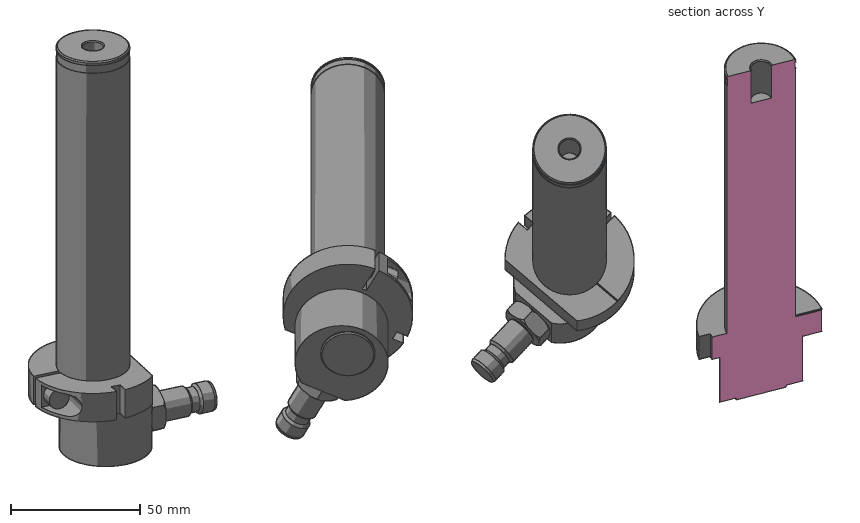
import cadquery as cq
import math

total_height = 174.9
foot_height = 1.0
collar_bottom = 25.0
collar_height = 12.2
collar_middle = collar_bottom + collar_height / 2

tube_diameter = 28.5
band_diameter = 28.2
band_height = 3.3
tube_rim_height = 1.5
band_top = total_height - tube_rim_height
band_bottom = band_top - band_height
tube_chamfer = 0.5
bore_diameter = 8.0
bore_mouth_diameter = 9.0
bore_depth = 17.5

base_diameter = 36.0
base_center_y = 5.5
base_flat_y = 20.8
foot_diameter = 21.0
foot_chamfer = 0.5

collar_diameter = 50.0
collar_flat_y = 16.6
clamp_slit_width = 1.7
key_notch_width = 3.7
key_notch_floor_x = 20.3
index_groove_width = 0.3
index_groove_depth = 0.5

screw_y = -19.2
screw_diameter = 5.0
screw_head_diameter = 8.5
screw_head_length = 5.0
screw_pocket_diameter = 9.5
screw_pocket_start_x = 4.9

connector_z = (foot_height + collar_bottom) / 2
hex_across_flats = 17.1
hex_across_corners = hex_across_flats / math.cos(math.pi / 6)
hex_end_y = 27.3
hex_chamfer_radial = 1.0
hex_chamfer_length = 0.9
plug_diameter = 12.0
plug_groove_diameter = 10.0
plug_end_y = 50.5
plug_groove_start_y = 39.4
plug_groove_end_y = 44.6
plug_groove_taper = 1.0
plug_chamfer_radial = 0.3
plug_chamfer_length = 1.0
plug_root_length = 0.5


def upright_cylinder(diameter, bottom, top, center_y=0):
    return cq.Workplane("XY", origin=(0, center_y, bottom)).circle(diameter / 2).extrude(top - bottom)


def screw_cylinder(diameter, start_x, length):
    """Cylinder on the clamping screw axis, running toward +X."""
    return cq.Workplane("YZ", origin=(start_x, screw_y, collar_middle)).circle(diameter / 2).extrude(length)


def box_between(x_range, y_range, z_range):
    lows, highs = zip(x_range, y_range, z_range)
    sizes = [high - low for low, high in zip(lows, highs)]
    return cq.Workplane("XY").box(*sizes, centered=False).translate(lows)


def revolve_about_connector(profile):
    """Revolve (radius, y) points about the connector axis."""
    sketch = cq.Workplane("XY", origin=(0, 0, connector_z)).polyline(profile).close()
    return sketch.revolve(360, (0, 0), (0, 1))


def make_tube():
    tube = upright_cylinder(tube_diameter, collar_bottom, total_height).faces(">Z").chamfer(tube_chamfer)
    band = upright_cylinder(tube_diameter, band_bottom, band_top)
    band = band.cut(upright_cylinder(band_diameter, band_bottom, band_top))
    bore = upright_cylinder(bore_diameter, total_height - bore_depth, total_height)
    mouth_depth = (bore_mouth_diameter - bore_diameter) / 2
    mouth = (
        cq.Workplane("XY", origin=(0, 0, total_height))
        .circle(bore_mouth_diameter / 2)
        .workplane(offset=-mouth_depth)
        .circle(bore_diameter / 2)
        .loft()
    )
    return tube.cut(band).cut(bore).cut(mouth)


def make_base():
    base = upright_cylinder(base_diameter, foot_height, collar_bottom, base_center_y)
    beyond_flat = box_between(
        (-base_diameter, base_diameter), (base_flat_y, 2 * base_diameter), (0, total_height)
    )
    foot = upright_cylinder(foot_diameter, 0, collar_bottom).faces("<Z").chamfer(foot_chamfer)
    return base.cut(beyond_flat).union(foot)


def make_collar():
    collar_top = collar_bottom + collar_height
    full_height = (collar_bottom, collar_top)
    collar = upright_cylinder(collar_diameter, *full_height)
    beyond_flat = box_between(
        (-collar_diameter, collar_diameter), (collar_flat_y, collar_diameter), full_height
    )
    clamp_slit = box_between(
        (-clamp_slit_width / 2, clamp_slit_width / 2), (-collar_diameter, 0), full_height
    )
    key_notch = box_between(
        (key_notch_floor_x, collar_diameter), (-key_notch_width / 2, key_notch_width / 2), full_height
    )
    index_groove = box_between(
        (-collar_diameter, 0),
        (-index_groove_width / 2, index_groove_width / 2),
        (collar_top - index_groove_depth, collar_top),
    )
    pocket = screw_cylinder(screw_pocket_diameter, screw_pocket_start_x, collar_diameter)
    pocket_mouth = box_between(
        (screw_pocket_start_x, collar_diameter),
        (-collar_diameter, screw_y),
        (collar_middle - screw_pocket_diameter / 2, collar_middle + screw_pocket_diameter / 2),
    )
    for cutter in (beyond_flat, clamp_slit, key_notch, index_groove, pocket, pocket_mouth):
        collar = collar.cut(cutter)
    shank = screw_cylinder(screw_diameter, -screw_pocket_start_x, 2 * screw_pocket_start_x)
    head = screw_cylinder(screw_head_diameter, screw_pocket_start_x, screw_head_length)
    return collar.union(shank).union(head)


def make_connector():
    hexagon = (
        cq.Workplane("XZ", origin=(0, base_flat_y, connector_z))
        .transformed(rotate=(0, 0, 90))
        .polygon(6, hex_across_corners)
        .extrude(base_flat_y - hex_end_y)
    )
    corner_radius = hex_across_corners / 2
    chamfer_radius = corner_radius - hex_chamfer_radial
    hex_envelope = revolve_about_connector([
        (0, base_flat_y),
        (chamfer_radius, base_flat_y),
        (corner_radius, base_flat_y + hex_chamfer_length),
        (corner_radius, hex_end_y - hex_chamfer_length),
        (chamfer_radius, hex_end_y),
        (0, hex_end_y),
    ])
    plug_radius = plug_diameter / 2
    groove_radius = plug_groove_diameter / 2
    end_radius = plug_radius - plug_chamfer_radial
    plug = revolve_about_connector([
        (0, base_flat_y),
        (end_radius, base_flat_y),
        (end_radius, hex_end_y),
        (plug_radius, hex_end_y + plug_root_length),
        (plug_radius, plug_groove_start_y),
        (groove_radius, plug_groove_start_y + plug_groove_taper),
        (groove_radius, plug_groove_end_y - plug_groove_taper),
        (plug_radius, plug_groove_end_y),
        (plug_radius, plug_end_y - plug_chamfer_length),
        (end_radius, plug_end_y),
        (0, plug_end_y),
    ])
    return hexagon.intersect(hex_envelope).union(plug)


result = make_base().union(make_collar()).union(make_tube()).union(make_connector())